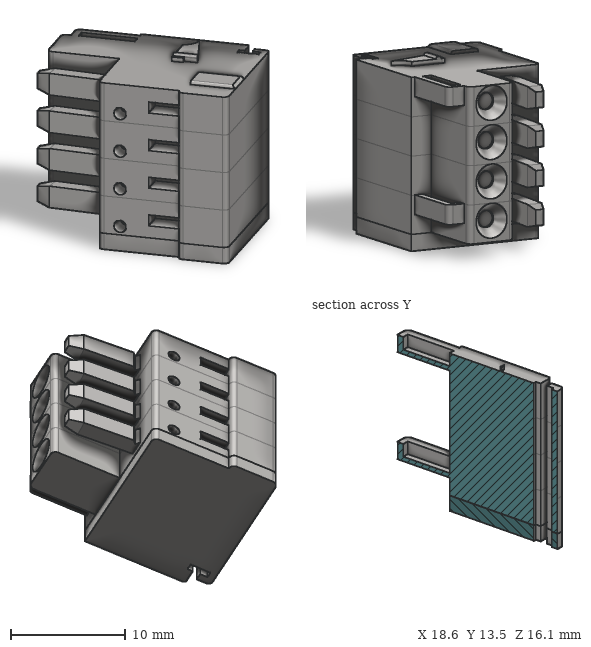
import cadquery as cq
import math

LENGTH = 18.6
WIDTH = 13.5
POLE_COUNT = 4
POLE_PITCH = 3.5
PLATE_THICKNESS = 1.5
CORNER_RADIUS = 0.5
BODY_LEFT = 6.6
FOOT_LEFT = 14.0
FOOT_STEP = 0.5
HOUSING_TOP = PLATE_THICKNESS + POLE_COUNT * POLE_PITCH

ARM_FRONT = 6.9
ARM_BACK = 11.5

SLOT_MOUTH_LEFT = 16.52
SLOT_MOUTH_RIGHT = 17.22
SLOT_LEFT = 16.0
SLOT_RIGHT = 17.95
SLOT_FLOOR = ARM_BACK
SLOT_CEILING = 12.05
FINGER_BACK = 12.7
BACK_CORNER_RADIUS = 0.25
FINGER_CORNER_RADIUS = 0.4

RIB_POLES = (0, POLE_COUNT - 1)
RIB_LEFT = 0.8
RIB_BACK = 13.15
RIB_HEIGHT = POLE_PITCH / 2
RIB_POCKET_LEFT = 1.49
RIB_POCKET_BACK = 12.37
RIB_FLOOR = 0.5

FUNNEL_Y = 9.19
FUNNEL_BELOW_TOP = 1.6
FUNNEL_DIAMETER = 3.1
WIRE_HOLE_DIAMETER = 1.5
FUNNEL_DEPTH = 1.0
WIRE_HOLE_DEPTH = 1.2

TEST_HOLE_X = 8.6
TEST_HOLE_ABOVE_BOTTOM = 0.78
TEST_HOLE_DIAMETER = 1.1
TEST_HOLE_DEPTH = 2.0
WINDOW_LEFT = 11.22
WINDOW_ABOVE_BOTTOM = 1.12
WINDOW_HEIGHT = 1.02
WINDOW_DEPTH = 2.0

PIN_HEIGHT = 2.0
PIN_TIP_HEIGHT = 1.4
PIN_TILT = 3.6
PIN_THICKNESS = 1.41
PIN_ROOT_BACK = 4.52
PIN_TIP_LENGTH = 1.32
PIN_TIP_FRONT = 3.95
PIN_TIP_BACK = 4.75
NOTCH_LEFT = 5.99
NOTCH_MIDDLE = 6.3
NOTCH_DEPTH = 0.33

LATCH_HEIGHT = 0.4
LATCH_LEFT = 11.22
LATCH_RIGHT = 13.43
LATCH_FRONT = 7.85
LATCH_SIDE_LENGTH = 0.2
LATCH_SHOULDER = 10.83
LATCH_APEX_X = 12.3
LATCH_APEX_Y = 12.3
LATCH_ARC_RADIUS = 1.49
TAB_WIDTH = 1.02
TAB_LENGTH = 0.3
BEAD_WIDTH = 0.55
BEAD_HEIGHT = 0.2
BEAD_RADIUS = 0.19

KEY_LEFT = 14.49
KEY_FRONT = 2.29
KEY_WIDTH = 2.75
KEY_HEIGHT = 0.3


def box(x0, x1, y0, y1, z0, z1):
    """A box between two corners."""
    return cq.Workplane("XY").box(x1 - x0, y1 - y0, z1 - z0, centered=False).translate((x0, y0, z0))


def main_section(height):
    """The outline shared by every pole and the end plate: foot, T-slot and corners, extruded up from Z = 0."""
    r = CORNER_RADIUS
    return (
        cq.Workplane("XY")
        .moveTo(BODY_LEFT, WIDTH)
        .lineTo(BODY_LEFT, FOOT_STEP + r)
        .radiusArc((BODY_LEFT + r, FOOT_STEP), -r)
        .lineTo(FOOT_LEFT, FOOT_STEP)
        .radiusArc((FOOT_LEFT + r, FOOT_STEP - r), -r)
        .lineTo(LENGTH - r, 0)
        .radiusArc((LENGTH, r), -r)
        .lineTo(LENGTH, FINGER_BACK - FINGER_CORNER_RADIUS)
        .radiusArc((LENGTH - FINGER_CORNER_RADIUS, FINGER_BACK), -FINGER_CORNER_RADIUS)
        .lineTo(SLOT_MOUTH_RIGHT, FINGER_BACK)
        .lineTo(SLOT_MOUTH_RIGHT, SLOT_CEILING)
        .lineTo(SLOT_RIGHT, SLOT_CEILING)
        .lineTo(SLOT_RIGHT, SLOT_FLOOR)
        .lineTo(SLOT_LEFT, SLOT_FLOOR)
        .lineTo(SLOT_LEFT, SLOT_CEILING)
        .lineTo(SLOT_MOUTH_LEFT, SLOT_CEILING)
        .lineTo(SLOT_MOUTH_LEFT, WIDTH - BACK_CORNER_RADIUS)
        .radiusArc((SLOT_MOUTH_LEFT - BACK_CORNER_RADIUS, WIDTH), -BACK_CORNER_RADIUS)
        .close()
        .extrude(height)
    )


def arm():
    """The arm with its two rounded free corners."""
    arm_box = box(0, BODY_LEFT, ARM_FRONT, ARM_BACK, 0, POLE_PITCH)
    return arm_box.edges("|Z and <X").fillet(CORNER_RADIUS)


def rib():
    """A rib behind the arm, in the upper half of a pole, with a pocket open at the top."""
    rib_bottom = POLE_PITCH - RIB_HEIGHT
    rib_box = box(RIB_LEFT, BODY_LEFT, ARM_BACK, RIB_BACK, rib_bottom, POLE_PITCH)
    rib_box = rib_box.edges("|Z and <X and >Y").fillet(CORNER_RADIUS)
    pocket = box(RIB_POCKET_LEFT, BODY_LEFT, ARM_BACK, RIB_POCKET_BACK, rib_bottom + RIB_FLOOR, POLE_PITCH)
    return rib_box.cut(pocket)


def wire_entry():
    """Cutter: a cone that narrows into a straight wire hole along X."""
    return (
        cq.Workplane("XY")
        .lineTo(0, FUNNEL_DIAMETER / 2)
        .lineTo(FUNNEL_DEPTH, WIRE_HOLE_DIAMETER / 2)
        .lineTo(WIRE_HOLE_DEPTH, WIRE_HOLE_DIAMETER / 2)
        .lineTo(WIRE_HOLE_DEPTH, 0)
        .close()
        .revolve(360, (0, 0, 0), (1, 0, 0))
        .translate((0, FUNNEL_Y, POLE_PITCH - FUNNEL_BELOW_TOP))
    )


def test_hole():
    """Cutter: a round hole into the -Y face."""
    return (
        cq.Workplane("XZ", origin=(TEST_HOLE_X, FOOT_STEP, TEST_HOLE_ABOVE_BOTTOM))
        .circle(TEST_HOLE_DIAMETER / 2)
        .extrude(-TEST_HOLE_DEPTH)
    )


def window():
    """Cutter: a rectangular window into the -Y face, ending at the foot."""
    window_top = WINDOW_ABOVE_BOTTOM + WINDOW_HEIGHT
    window_back = FOOT_STEP + WINDOW_DEPTH
    return box(WINDOW_LEFT, FOOT_LEFT, FOOT_STEP, window_back, WINDOW_ABOVE_BOTTOM, window_top)


def upright_rectangle(front_point, back_point, height):
    """A rectangle standing on the line between two XY points, centred on Z = 0."""
    half = height / 2
    corners = [(*front_point, -half), (*back_point, -half), (*back_point, half), (*front_point, half)]
    return cq.Wire.makePolygon([cq.Vector(*corner) for corner in corners], close=True)


def contact_pin():
    """A pin tilted in the XY plane, with a notch at its root and a tip tapered on all sides."""
    slope = math.tan(math.radians(PIN_TILT))

    def back_point(x):
        return (x, PIN_ROOT_BACK + (BODY_LEFT - x) * slope)

    def front_point(x, inset=0):
        return (x, PIN_ROOT_BACK + (BODY_LEFT - x) * slope - PIN_THICKNESS + inset)

    tip_base_back = back_point(PIN_TIP_LENGTH)
    tip_base_front = front_point(PIN_TIP_LENGTH - PIN_THICKNESS * slope)
    bar = (
        cq.Workplane("XY", origin=(0, 0, -PIN_HEIGHT / 2))
        .polyline([
            tip_base_back,
            back_point(BODY_LEFT),
            front_point(BODY_LEFT),
            front_point(NOTCH_MIDDLE, NOTCH_DEPTH),
            front_point(NOTCH_LEFT),
            tip_base_front,
        ])
        .close()
        .extrude(PIN_HEIGHT)
    )
    tip_end = upright_rectangle((0, PIN_TIP_FRONT), (0, PIN_TIP_BACK), PIN_TIP_HEIGHT)
    tip_base = upright_rectangle(tip_base_front, tip_base_back, PIN_HEIGHT)
    tip = cq.Solid.makeLoft([tip_end, tip_base], True)
    return bar.union(cq.Workplane(tip)).translate((0, 0, POLE_PITCH / 2))


def pole(with_rib):
    """One pole of the housing, standing on Z = 0."""
    body = main_section(POLE_PITCH).union(arm())
    if with_rib:
        body = body.union(rib())
    body = body.cut(wire_entry()).cut(test_hole()).cut(window())
    return body.union(contact_pin())


def latch_plate(height):
    """The latch outline: a slanted side on the right and a hollow at the back left."""
    return (
        cq.Workplane("XY")
        .moveTo(LATCH_LEFT, LATCH_FRONT)
        .lineTo(LATCH_RIGHT, LATCH_FRONT)
        .lineTo(LATCH_RIGHT, LATCH_FRONT + LATCH_SIDE_LENGTH)
        .lineTo(LATCH_APEX_X, LATCH_APEX_Y)
        .radiusArc((LATCH_LEFT, LATCH_SHOULDER), LATCH_ARC_RADIUS)
        .close()
        .extrude(height)
    )


def latch():
    """The latch on the top face: a plate with a tab at the front and a raised, rounded bead."""
    tab = box(LATCH_LEFT, LATCH_LEFT + TAB_WIDTH, LATCH_FRONT - TAB_LENGTH, LATCH_FRONT, 0, LATCH_HEIGHT)
    bead_top = LATCH_HEIGHT + BEAD_HEIGHT
    bead = box(LATCH_LEFT, LATCH_RIGHT, LATCH_FRONT, LATCH_FRONT + BEAD_WIDTH, LATCH_HEIGHT, bead_top)
    bead = bead.edges("|X and >Z").fillet(BEAD_RADIUS).intersect(latch_plate(bead_top))
    plate = latch_plate(LATCH_HEIGHT).union(bead, clean=False)
    return plate.union(tab, clean=False).translate((0, 0, HOUSING_TOP))


def key():
    """The key on the top face: quarter-round long edges and a 45 degree slope at the outer end."""
    r = KEY_HEIGHT
    bar = (
        cq.Workplane("YZ", origin=(KEY_LEFT, 0, 0))
        .moveTo(KEY_FRONT, 0)
        .radiusArc((KEY_FRONT + r, r), r)
        .lineTo(KEY_FRONT + KEY_WIDTH - r, r)
        .radiusArc((KEY_FRONT + KEY_WIDTH, 0), r)
        .close()
        .extrude(LENGTH - KEY_LEFT)
    )
    end_wedge = (
        cq.Workplane("XZ")
        .moveTo(LENGTH, 0)
        .lineTo(LENGTH, KEY_HEIGHT)
        .lineTo(LENGTH - KEY_HEIGHT, KEY_HEIGHT)
        .close()
        .extrude(-WIDTH)
    )
    return bar.cut(end_wedge).translate((0, 0, HOUSING_TOP))


def build_housing():
    """All poles in one solid; the joints between the poles stay visible as edges."""
    housing = latch().union(key(), clean=False)
    for index in range(POLE_COUNT):
        level = PLATE_THICKNESS + index * POLE_PITCH
        housing = housing.union(pole(index in RIB_POLES).translate((0, 0, level)), clean=False)
    return housing


end_plate = main_section(PLATE_THICKNESS)
housing = build_housing()

result = cq.Compound.makeCompound([housing.solids().val(), end_plate.val()])